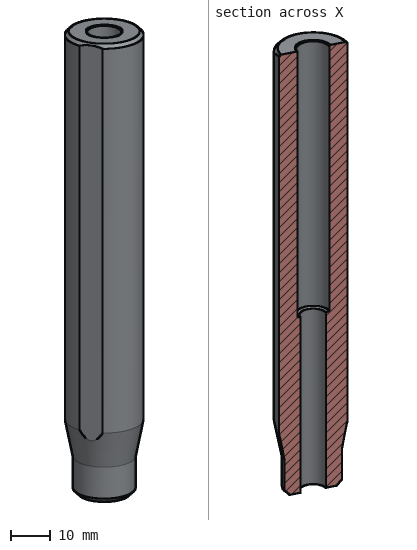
import cadquery as cq

length = 125.0
grip_radius = 10.0
neck_radius = 8.0
neck_length = 10.0
taper_length = 10.0
neck_chamfer = 1.5
top_chamfer = 1.0
across_flats = 19.0

mouth_radius = 4.6
wide_bore_radius = 4.4
narrow_bore_radius = 3.5
wide_bore_depth = 75.0
cone_depth = 0.4
mouth_chamfer = mouth_radius - wide_bore_radius


def make_blank():
    """Revolved outside shape of the handle."""
    profile = [
        (0, 0),
        (neck_radius - neck_chamfer, 0),
        (neck_radius, neck_chamfer),
        (neck_radius, neck_length),
        (grip_radius, neck_length + taper_length),
        (grip_radius, length - top_chamfer),
        (grip_radius - top_chamfer, length),
        (0, length),
    ]
    return cq.Workplane("XZ").polyline(profile).close().revolve(360, (0, 0, 0), (0, 1, 0))


def make_flats_envelope():
    """Block whose two Y faces leave flats on the front and back."""
    return cq.Workplane("XY").box(2 * grip_radius, across_flats, length, centered=(True, True, False))


def make_bore():
    """Stepped bore cutter with a chamfered mouth and a shallow conical shoulder."""
    shoulder_top = length - wide_bore_depth
    profile = [
        (0, 0),
        (narrow_bore_radius, 0),
        (narrow_bore_radius, shoulder_top - cone_depth),
        (wide_bore_radius, shoulder_top),
        (wide_bore_radius, length - mouth_chamfer),
        (mouth_radius, length),
        (0, length),
    ]
    return cq.Workplane("XZ").polyline(profile).close().revolve(360, (0, 0, 0), (0, 1, 0))


def make_handle():
    return make_blank().intersect(make_flats_envelope()).cut(make_bore())


handle = make_handle()

result = cq.Compound.makeCompound([handle.val()])